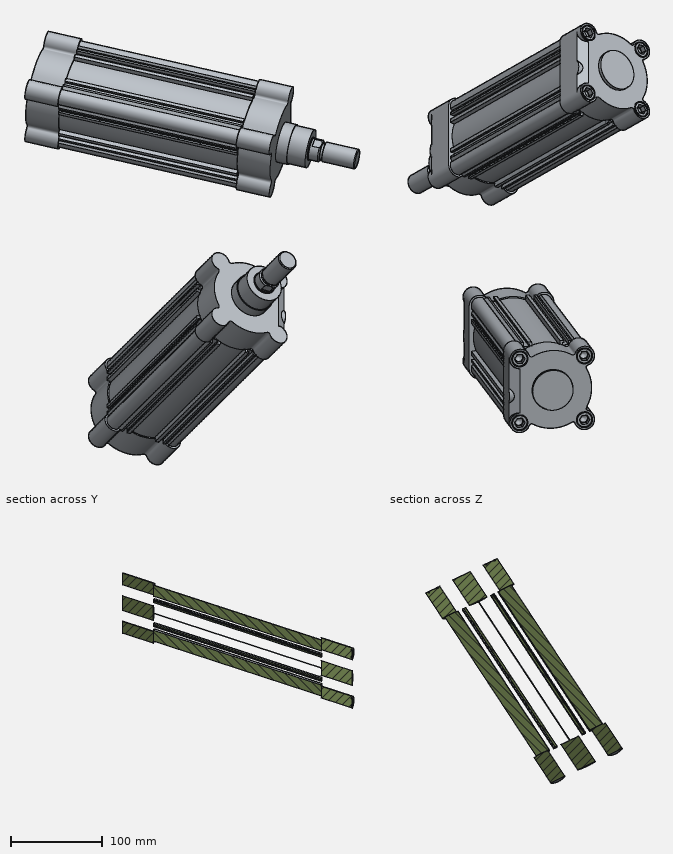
import cadquery as cq
import math


total_length = 368.0
rear_boss_length = 4.0
cap_length = 37.5
tube_length = 202.8
collar_length = 12.5
nose_length = 20.5
wiper_length = 1.0
rod_shoulder_length = 11.8
neck_length = 3.0

rear_face = rear_boss_length
tube_start = rear_face + cap_length
tube_end = tube_start + tube_length
front_face = tube_end + cap_length
collar_end = front_face + collar_length
nose_end = collar_end + nose_length
wiper_end = nose_end + wiper_length
shoulder_end = wiper_end + rod_shoulder_length
neck_end = shoulder_end + neck_length

overall_width = 94.0
cap_radius = 43.8
post_radius = 11.0
post_offset = overall_width / 2 - post_radius
post_web_fillet = 2.5
boss_radius = 22.5
nose_radius = 21.5
wiper_radius = 13.0

port_wall_top = overall_width / 2
bevel_depth = 6.5
port_boss_radius = 12.5
port_boss_setback = 16.0
port_boss_z = -6.5

ring_radius = 9.0
head_radius = 8.0
ring_depth = 1.5
hex_across_flats = 10.0
hex_depth = 6.5
drill_point_radius = 4.5
drill_point_depth = 2.5

tube_radius = 42.5
tube_half_width = 44.5
corner_radius = 8.5
groove_outer = 32.5
groove_bottom = 30.5
groove_inner = 27.2
groove_depth = 2.2
slot_outer = 25.0
lip_tip = 20.0
slot_inner = 18.5
rib_inner = 16.0
rib_foot_inner = 15.0
slot_floor = 39.7
lip_underside = 42.5

rod_radius = 12.0
flat_half_width = 11.0
flat_start_gap = 2.2
shoulder_chamfer = 1.5
neck_radius = 9.0
tip_radius = 11.0
tip_chamfer = 1.0


def disc(radius, start, end):
    """Cylinder on the main axis between two X stations."""
    return cq.Workplane("YZ", origin=(start, 0, 0)).circle(radius).extrude(end - start)


def post_points():
    return [(y, z) for y in (-post_offset, post_offset) for z in (-post_offset, post_offset)]


def posts():
    return cq.Workplane("YZ").pushPoints(post_points()).circle(post_radius).extrude(cap_length)


def is_web_corner(edge):
    """True for the inner corners where a post meets the round cap body."""
    tolerance = 0.01
    centre = edge.Center()
    on_body = abs(math.hypot(centre.y, centre.z) - cap_radius) < tolerance
    return on_body and min(abs(centre.y), abs(centre.z)) > post_radius


def port_wall():
    """Flat +Y wall between the two posts, as wide as the post spacing."""
    return cq.Workplane("XY").box(
        cap_length, port_wall_top, 2 * post_offset, centered=(False, False, True)
    )


def bevel_cutter():
    """Wedge that slopes the outer end of the port wall."""
    return (
        cq.Workplane("XY")
        .moveTo(0, post_offset)
        .lineTo(bevel_depth, port_wall_top)
        .lineTo(0, port_wall_top)
        .close()
        .extrude(post_offset, both=True)
    )


def port_boss():
    return (
        cq.Workplane("XZ", origin=(port_boss_setback, port_wall_top, port_boss_z))
        .circle(port_boss_radius)
        .extrude(port_wall_top - post_offset)
    )


def cap_block():
    """Cap with its outer face at X = 0, reaching to X = cap_length."""
    block = disc(cap_radius, 0, cap_length).union(posts())
    web_corners = [edge for edge in block.edges("|X").vals() if is_web_corner(edge)]
    block = block.newObject(web_corners).fillet(post_web_fillet)
    block = block.union(port_wall()).cut(bevel_cutter())
    return block.union(posts()).union(port_boss())


def screw_recesses():
    """Ring groove round each screw head, and its hexagon socket that ends in a drill point."""
    seats = cq.Workplane("YZ").pushPoints(post_points())
    grooves = seats.circle(ring_radius).extrude(ring_depth)
    heads = seats.circle(head_radius).extrude(ring_depth)
    hex_diameter = hex_across_flats / math.cos(math.pi / 6)
    sockets = seats.polygon(6, hex_diameter).extrude(hex_depth)
    cutter = grooves.cut(heads).union(sockets)
    for y, z in post_points():
        point = cq.Solid.makeCone(
            drill_point_radius, 0, drill_point_depth, pnt=(hex_depth, y, z), dir=(1, 0, 0)
        )
        cutter = cutter.union(cq.Workplane(obj=point))
    return cutter


def make_rear_cap():
    block = cap_block().cut(screw_recesses()).translate((rear_face, 0, 0))
    return block.union(disc(boss_radius, 0, rear_face))


def make_front_cap():
    """Mirrored cap block with the collar, the nose and the wiper ring."""
    block = cap_block().mirror("YZ").translate((front_face, 0, 0))
    collar = disc(boss_radius, front_face, collar_end)
    nose = disc(nose_radius, collar_end, nose_end)
    wiper = disc(wiper_radius, nose_end, wiper_end)
    return block.union(collar).union(nose).union(wiper)


def half_side_points():
    """Half of one tube side as (along, outwards) points, from the corner to the round middle."""
    rib_foot = math.sqrt(tube_radius**2 - rib_foot_inner**2)
    return [
        (tube_half_width - corner_radius, tube_half_width),
        (groove_outer, tube_half_width),
        (groove_bottom, tube_half_width - groove_depth),
        (groove_inner, tube_half_width),
        (slot_outer, tube_half_width),
        (slot_outer, slot_floor),
        (slot_inner, slot_floor),
        (slot_inner, lip_underside),
        (lip_tip, lip_underside),
        (lip_tip, tube_half_width),
        (rib_inner, tube_half_width),
        (rib_foot_inner, rib_foot),
    ]


def turned(point, quarter_turns):
    y, z = point
    for _ in range(quarter_turns):
        y, z = z, -y
    return (y, z)


def make_tube():
    """Four equal sides joined by round corners."""
    right_half = half_side_points()[::-1]
    left_half = [(-y, z) for y, z in half_side_points()]
    corner_mid = tube_half_width - corner_radius * (1 - math.sqrt(0.5))
    outline = cq.Workplane("YZ", origin=(tube_start, 0, 0)).moveTo(*left_half[0])
    for side in range(4):
        for point in left_half[1:]:
            outline = outline.lineTo(*turned(point, side))
        outline = outline.threePointArc(turned((0, tube_radius), side), turned(right_half[0], side))
        for point in right_half[1:]:
            outline = outline.lineTo(*turned(point, side))
        outline = outline.threePointArc(
            turned((corner_mid, corner_mid), side), turned(left_half[0], side + 1)
        )
    return outline.close().extrude(tube_length)


def make_rod():
    """Rod end with a flatted shoulder, an undercut neck and a plain chamfered tip."""
    shoulder = disc(rod_radius, wiper_end, shoulder_end).faces(">X").chamfer(shoulder_chamfer)
    flat_length = shoulder_end - wiper_end - flat_start_gap
    flat_depth = rod_radius - flat_half_width
    for side in (-1, 1):
        cutter = cq.Workplane("XY").box(flat_length, 2 * rod_radius, flat_depth).translate(
            (shoulder_end - flat_length / 2, 0, side * (flat_half_width + flat_depth / 2))
        )
        shoulder = shoulder.cut(cutter)
    neck = disc(neck_radius, shoulder_end, neck_end)
    tip = disc(tip_radius, neck_end, total_length).faces(">X").chamfer(tip_chamfer)
    return shoulder.union(neck).union(tip)


rear_cap = make_rear_cap()
tube = make_tube()
front_cap = make_front_cap()
rod = make_rod()

result = cq.Compound.makeCompound([rear_cap.val(), tube.val(), front_cap.val(), rod.val()])